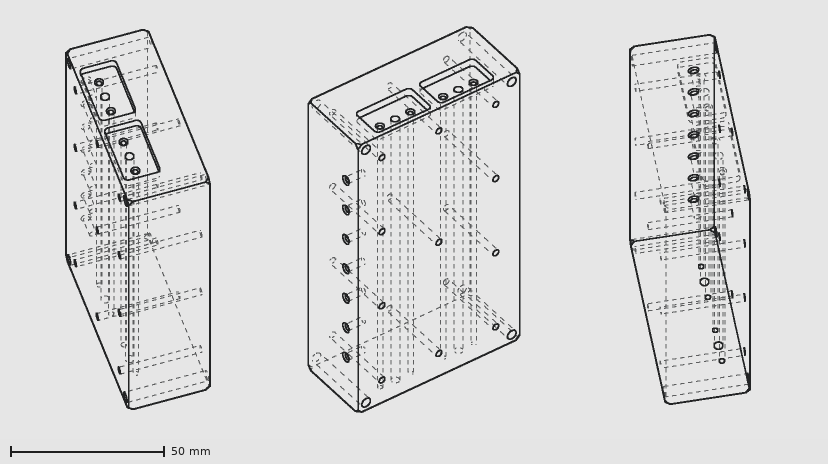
import cadquery as cq
import math

WIDTH = 64.8
DEPTH = 28.0
HEIGHT = 115.1
CORNER_CUT = 1.5

MOUNT_DIAMETER = 3.5
MOUNT_EDGE_DISTANCE = 3.2
PANEL_DIAMETER = 2.3
PANEL_PITCH_X = 22.8
PANEL_PITCH_Z = 31.9

PORT_Y = -7.1
PORT_PITCH = 12.7
COUNTERSINK_DEPTH = 0.6

POCKET_WIDTH = 22.1
POCKET_LENGTH = 12.4
POCKET_DEPTH = 3.0
POCKET_RADIUS = 1.5
POCKET_FRONT_WALL = 1.6
BORE_DIAMETER = 2.9
SCREW_OFFSET = 6.1
SCREW_DIAMETER = 1.7
SCREW_MOUTH_DIAMETER = 2.9

SIDE_PORT_COUNT = 7
SIDE_DIAMETER = 2.3
SIDE_MOUTH_DIAMETER = 3.5
SIDE_DEPTH = 6.9
DRILL_POINT_ANGLE = 118.0

BOTH_SIDES = (-1, 1)
INTO_FRONT = cq.Vector(0, 1, 0)
INTO_TOP = cq.Vector(0, 0, -1)
INTO_LEFT = cq.Vector(1, 0, 0)


def drill(diameter, depth, start, direction):
    return cq.Solid.makeCylinder(diameter / 2, depth, start, direction)


def countersunk_drill(diameter, mouth_diameter, depth, start, direction):
    """Straight hole with a conical mouth, as one cutting tool."""
    mouth = cq.Solid.makeCone(mouth_diameter / 2, diameter / 2, COUNTERSINK_DEPTH, start, direction)
    return drill(diameter, depth, start, direction).fuse(mouth)


def make_block():
    """Box with its eight corners cut off by flat triangles."""
    block = cq.Workplane("XY").box(WIDTH, DEPTH, HEIGHT)
    for side_x in BOTH_SIDES:
        for side_y in BOTH_SIDES:
            for side_z in BOTH_SIDES:
                block = block.cut(corner_wedge(side_x, side_y, side_z))
    return block


def corner_wedge(side_x, side_y, side_z):
    """Tetrahedron filling the block corner on the given sides."""
    tip = cq.Vector(side_x * WIDTH / 2, side_y * DEPTH / 2, side_z * HEIGHT / 2)
    points = [
        tip,
        tip - cq.Vector(side_x * CORNER_CUT, 0, 0),
        tip - cq.Vector(0, side_y * CORNER_CUT, 0),
        tip - cq.Vector(0, 0, side_z * CORNER_CUT),
    ]
    faces = []
    for opposite in points:
        triangle = [point for point in points if point is not opposite]
        faces.append(cq.Face.makeFromWires(cq.Wire.makePolygon(triangle, close=True)))
    return cq.Workplane(cq.Solid.makeSolid(cq.Shell.makeShell(faces)))


def cut_front_hole(body, x, z, diameter):
    start = cq.Vector(x, -DEPTH / 2, z)
    return body.cut(cq.Workplane(drill(diameter, DEPTH, start, INTO_FRONT)))


def cut_front_holes(body):
    """Four corner mounting holes and eleven smaller panel holes."""
    mount_x = WIDTH / 2 - MOUNT_EDGE_DISTANCE
    mount_z = HEIGHT / 2 - MOUNT_EDGE_DISTANCE
    for side_x in BOTH_SIDES:
        for side_z in BOTH_SIDES:
            body = cut_front_hole(body, side_x * mount_x, side_z * mount_z, MOUNT_DIAMETER)

    for side_x in BOTH_SIDES:
        for row in (-1.5, -0.5, 0.5, 1.5):
            body = cut_front_hole(body, side_x * PANEL_PITCH_X, row * PANEL_PITCH_Z, PANEL_DIAMETER)
    for row in (-1.5, 0, 1.5):
        body = cut_front_hole(body, 0, row * PANEL_PITCH_Z, PANEL_DIAMETER)
    return body


def cut_connector_pocket(body, x):
    """Pocket with a central bore between two countersunk screw holes, all running to the bottom."""
    floor_z = HEIGHT / 2 - POCKET_DEPTH
    hole_depth = HEIGHT - POCKET_DEPTH
    pocket_y = -DEPTH / 2 + POCKET_FRONT_WALL + POCKET_LENGTH / 2
    pocket = (
        cq.Workplane("XY", origin=(x, pocket_y, floor_z))
        .rect(POCKET_WIDTH, POCKET_LENGTH)
        .extrude(POCKET_DEPTH)
        .edges("|Z")
        .fillet(POCKET_RADIUS)
    )
    body = body.cut(pocket)

    bore_start = cq.Vector(x, PORT_Y, floor_z)
    body = body.cut(cq.Workplane(drill(BORE_DIAMETER, hole_depth, bore_start, INTO_TOP)))
    for side in BOTH_SIDES:
        start = cq.Vector(x + side * SCREW_OFFSET, PORT_Y, floor_z)
        screw = countersunk_drill(SCREW_DIAMETER, SCREW_MOUTH_DIAMETER, hole_depth, start, INTO_TOP)
        body = body.cut(cq.Workplane(screw))
    return body


def cut_side_ports(body):
    """Row of countersunk blind ports; every other one, from the ends, has a drill-point bottom."""
    point_length = SIDE_DIAMETER / 2 / math.tan(math.radians(DRILL_POINT_ANGLE / 2))
    for index in range(SIDE_PORT_COUNT):
        z = (index - (SIDE_PORT_COUNT - 1) / 2) * PORT_PITCH
        start = cq.Vector(-WIDTH / 2, PORT_Y, z)
        port = countersunk_drill(SIDE_DIAMETER, SIDE_MOUTH_DIAMETER, SIDE_DEPTH, start, INTO_LEFT)
        body = body.cut(cq.Workplane(port))
        if index % 2 == 0:
            bottom = start + INTO_LEFT * SIDE_DEPTH
            point = cq.Solid.makeCone(SIDE_DIAMETER / 2, 0, point_length, bottom, INTO_LEFT)
            body = body.cut(cq.Workplane(point))
    return body


result = cut_front_holes(make_block())
for side in BOTH_SIDES:
    result = cut_connector_pocket(result, side * PORT_PITCH)
result = cut_side_ports(result)